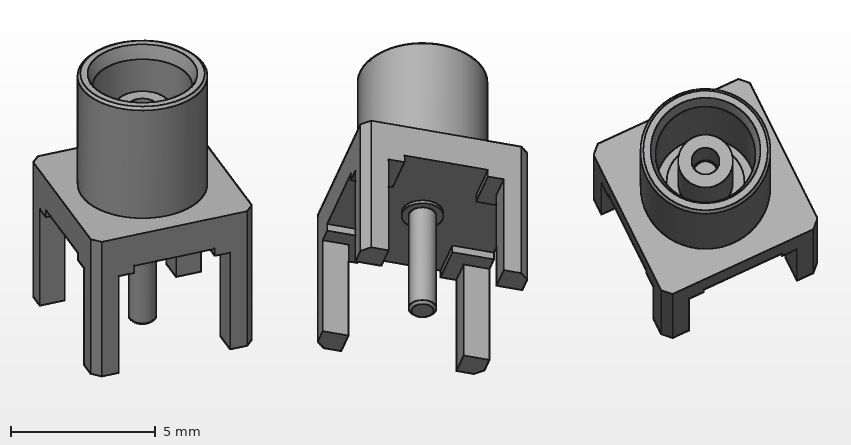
import cadquery as cq

TOTAL_HEIGHT = 10
BLOCK_SIDE = 6
BLOCK_TOP = 5.5
CORNER_CHAMFER = 0.3

LEG_SIDE = 0.93
PAD_SIDE = 1.5
PAD_BOTTOM = 3.95
BLOCK_BOTTOM = 4.24

BARREL_DIAMETER = 4.5
BARREL_CHAMFER = 0.1
MOUTH_DIAMETER = 3.8
SOCKET_DIAMETER = 3.45
MOUTH_DEPTH = 0.5
SOCKET_FLOOR = BLOCK_TOP

SHOULDER_DIAMETER = 2.7
SHOULDER_TOP = 6
POST_DIAMETER = 1.9
POST_TOP = 8.68
FLANGE_DIAMETER = 1.45
FLANGE_BOTTOM = 4.12

PIN_DIAMETER = 0.96
PIN_RECESS = 1.5
PIN_TOP = POST_TOP - PIN_RECESS
TIP_CHAMFER = 0.06
TAIL_CHAMFER = 0.1


def cylinder(diameter, bottom, top):
    """Upright cylinder on the Z axis."""
    return cq.Workplane("XY").workplane(offset=bottom).circle(diameter / 2).extrude(top - bottom)


def make_base():
    """Square block on four corner legs, cut out from below by crossing channels."""
    base = cq.Workplane("XY").rect(BLOCK_SIDE, BLOCK_SIDE).extrude(BLOCK_TOP)
    base = base.edges("|Z").chamfer(CORNER_CHAMFER)
    for corner_side, ceiling in ((LEG_SIDE, PAD_BOTTOM), (PAD_SIDE, BLOCK_BOTTOM)):
        gap = BLOCK_SIDE - 2 * corner_side
        for x_size, y_size in ((gap, BLOCK_SIDE), (BLOCK_SIDE, gap)):
            base = base.cut(cq.Workplane("XY").rect(x_size, y_size).extrude(ceiling))
    return base


def make_barrel():
    """Round barrel with a chamfered rim."""
    barrel = cylinder(BARREL_DIAMETER, BLOCK_TOP, TOTAL_HEIGHT)
    return barrel.faces(">Z").edges().chamfer(BARREL_CHAMFER)


def make_socket():
    """Space inside the barrel: a straight bore that widens in a cone up to its mouth."""
    profile = [
        (0, SOCKET_FLOOR),
        (SOCKET_DIAMETER / 2, SOCKET_FLOOR),
        (SOCKET_DIAMETER / 2, TOTAL_HEIGHT - MOUTH_DEPTH),
        (MOUTH_DIAMETER / 2, TOTAL_HEIGHT),
        (0, TOTAL_HEIGHT),
    ]
    return cq.Workplane("XZ").polyline(profile).close().revolve(360, (0, 0, 0), (0, 1, 0))


def make_insulator():
    """Narrow post on a wide shoulder, with a flange under the block."""
    shoulder = cylinder(SHOULDER_DIAMETER, SOCKET_FLOOR, SHOULDER_TOP)
    post = cylinder(POST_DIAMETER, SOCKET_FLOOR, POST_TOP)
    flange = cylinder(FLANGE_DIAMETER, FLANGE_BOTTOM, SOCKET_FLOOR)
    return shoulder.union(post).union(flange)


def make_pin():
    """Contact pin running up from its solder tail, chamfered at both ends."""
    pin = cylinder(PIN_DIAMETER, 0, PIN_TOP)
    pin = pin.faces(">Z").edges().chamfer(TIP_CHAMFER)
    return pin.faces("<Z").edges().chamfer(TAIL_CHAMFER)


pin_hole = cylinder(PIN_DIAMETER, FLANGE_BOTTOM, POST_TOP)
shell = make_base().union(make_barrel()).cut(make_socket())
result = shell.union(make_insulator()).cut(pin_hole).union(make_pin())